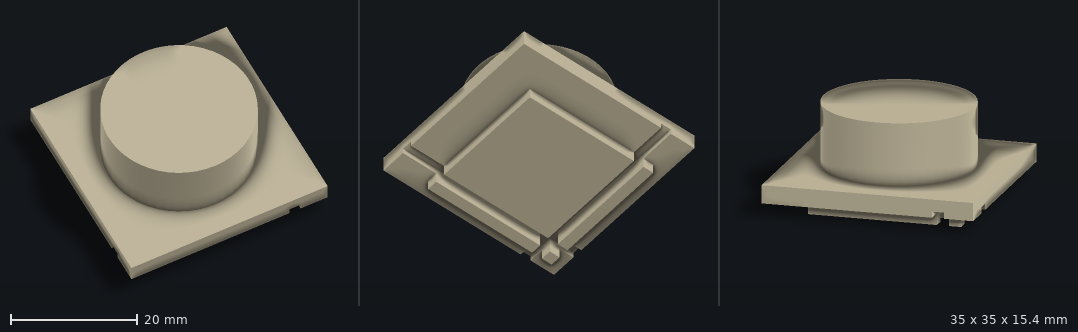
import cadquery as cq

plate_side = 35
plate_thickness = 3.0

body_diameter = 25.0
body_height = 10.43

pad_height = 2.0
main_pad_side = 21.35
groove_width = 2.0
groove_depth_in_plate = 1.0
outer_strip_width = 2.0

main_pad_edge = main_pad_side / 2
groove_center = main_pad_edge + groove_width / 2
pad_side = main_pad_side + groove_width + outer_strip_width
pad_center = (pad_side - main_pad_side) / 2
groove_height = pad_height + groove_depth_in_plate


def make_plate():
    return cq.Workplane("XY").rect(plate_side, plate_side).extrude(plate_thickness)


def make_body():
    return (
        cq.Workplane("XY")
        .workplane(offset=plate_thickness)
        .circle(body_diameter / 2)
        .extrude(body_height)
    )


def make_pad():
    return (
        cq.Workplane("XY")
        .center(pad_center, pad_center)
        .rect(pad_side, pad_side)
        .extrude(-pad_height)
    )


def make_groove(center_x, center_y, size_x, size_y):
    """Cutter running from the pad's bottom face up into the plate."""
    return (
        cq.Workplane("XY")
        .workplane(offset=-pad_height)
        .center(center_x, center_y)
        .rect(size_x, size_y)
        .extrude(groove_height)
    )


groove_along_y = make_groove(groove_center, 0, groove_width, plate_side)
groove_along_x = make_groove(0, groove_center, plate_side, groove_width)

result = (
    make_plate()
    .union(make_body())
    .union(make_pad())
    .cut(groove_along_y)
    .cut(groove_along_x)
)